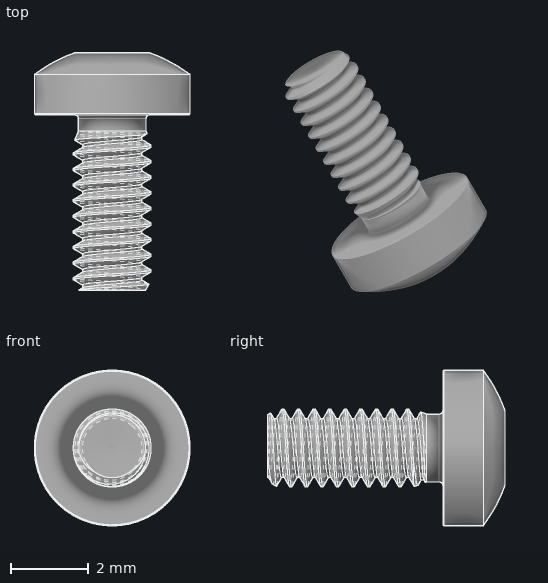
import cadquery as cq
import math

TOTAL_LENGTH = 6.1
HEAD_RADIUS = 2.0
HEAD_HEIGHT = 1.6
HEAD_RIM_HEIGHT = 1.04
HEAD_TOP_RADIUS = 0.95
DOME_BULGE = 0.05
HEAD_EDGE_CHAMFER = 0.03

NECK_RADIUS = 0.87
NECK_LENGTH = 0.415
NECK_FILLET = 0.1

CREST_RADIUS = 1.0
PITCH = 2 * CREST_RADIUS / 5
THREAD_DEPTH = 0.24
CREST_WIDTH = PITCH / 8
FLANK_ANGLE = math.radians(30)
LEAD_IN_LENGTH = 0.335
TIP_RADIUS = 0.855
TIP_CHAMFER_LENGTH = 0.26
TIP_CUP_RADIUS = 0.805
TIP_CUP_DEPTH = 0.035
GROOVE_START_TURNS = 1.5
RUN_OUT_TURNS = 0.75
GROOVE_CLEARANCE = 0.025

SHANK_LENGTH = TOTAL_LENGTH - HEAD_HEIGHT
ROOT_RADIUS = CREST_RADIUS - THREAD_DEPTH
GROOVE_START = -GROOVE_START_TURNS * PITCH


def screw_blank():
    """Revolve the unthreaded screw, with domed head and chamfered, shallowly cupped tip."""
    dome_middle = (
        (HEAD_RADIUS + HEAD_TOP_RADIUS) / 2 + DOME_BULGE / math.sqrt(2),
        (HEAD_HEIGHT + HEAD_RIM_HEIGHT) / 2 + DOME_BULGE / math.sqrt(2),
    )
    fillet_middle = NECK_FILLET * (1 - math.sqrt(0.5))
    return (
        cq.Workplane("XY")
        .moveTo(0, HEAD_HEIGHT)
        .lineTo(HEAD_TOP_RADIUS, HEAD_HEIGHT)
        .threePointArc(dome_middle, (HEAD_RADIUS, HEAD_RIM_HEIGHT))
        .lineTo(HEAD_RADIUS, HEAD_EDGE_CHAMFER)
        .lineTo(HEAD_RADIUS - HEAD_EDGE_CHAMFER, 0)
        .lineTo(NECK_RADIUS + NECK_FILLET, 0)
        .threePointArc((NECK_RADIUS + fillet_middle, -fillet_middle), (NECK_RADIUS, -NECK_FILLET))
        .lineTo(NECK_RADIUS, -NECK_LENGTH)
        .lineTo(CREST_RADIUS, -NECK_LENGTH - LEAD_IN_LENGTH)
        .lineTo(CREST_RADIUS, -SHANK_LENGTH + TIP_CHAMFER_LENGTH)
        .lineTo(TIP_RADIUS, -SHANK_LENGTH)
        .lineTo(TIP_CUP_RADIUS, -SHANK_LENGTH)
        .lineTo(0, -SHANK_LENGTH + TIP_CUP_DEPTH)
        .close()
        .revolve(360, (0, 0, 0), (0, 1, 0))
    )


def groove_section():
    """Trapezoid of the thread groove at the +X side, at its full-depth start."""
    outer_radius = CREST_RADIUS + GROOVE_CLEARANCE
    crest_half = (PITCH - CREST_WIDTH) / 2
    outer_half = crest_half + GROOVE_CLEARANCE * math.tan(FLANK_ANGLE)
    root_half = crest_half - THREAD_DEPTH * math.tan(FLANK_ANGLE)
    return cq.Workplane("XZ").polyline([
        (ROOT_RADIUS, -root_half),
        (outer_radius, -outer_half),
        (outer_radius, outer_half),
        (ROOT_RADIUS, root_half),
    ]).close()


def upright_groove(helix):
    """Sweep the groove up the Z axis along a helix."""
    return groove_section().sweep(cq.Workplane(obj=helix), isFrenet=True)


def place_on_screw(groove, tilt):
    """Turn the groove's Z axis onto Y and move its start to the start of the full thread."""
    return groove.rotate((0, 0, 0), (1, 0, 0), tilt).translate((0, GROOVE_START, 0))


def thread_groove():
    """Full-depth groove that leaves through the tip."""
    length = SHANK_LENGTH + GROOVE_START + PITCH
    helix = cq.Wire.makeHelix(PITCH, length, ROOT_RADIUS)
    return place_on_screw(upright_groove(helix), 90)


def run_out_groove():
    """Short groove that climbs out of the shank towards the head."""
    height = RUN_OUT_TURNS * PITCH
    cone_angle = math.degrees(math.atan(THREAD_DEPTH / height))
    helix = cq.Wire.makeHelix(PITCH, height, ROOT_RADIUS, angle=cone_angle)
    return place_on_screw(upright_groove(helix), -90)


result = screw_blank().cut(thread_groove()).cut(run_out_groove())